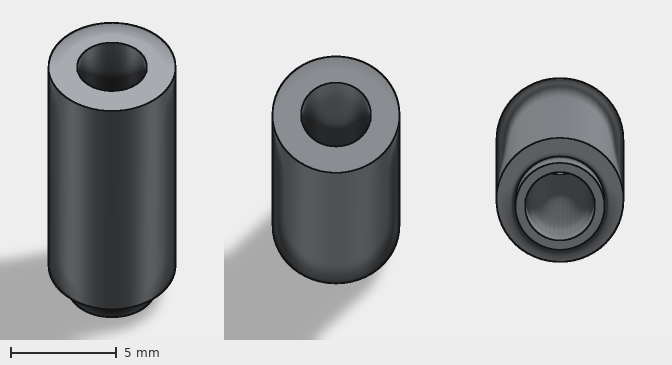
import cadquery as cq

total_length = 14.4
body_diameter = 6.0
spigot_diameter = 4.2
spigot_length = 1.4
bore_diameter = 3.3

body_length = total_length - spigot_length

spigot = cq.Workplane("XY").circle(spigot_diameter / 2).extrude(spigot_length)

spacer = spigot.faces(">Z").workplane().circle(body_diameter / 2).extrude(body_length)

result = spacer.faces(">Z").workplane().circle(bore_diameter / 2).cutThruAll()